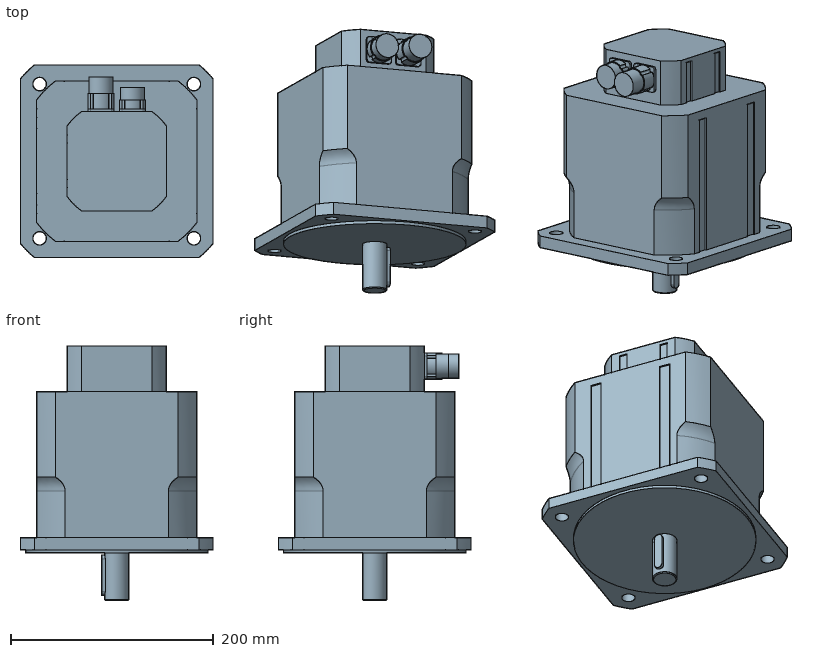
import cadquery as cq
import math


FLANGE_SIDE = 190
FLANGE_CORNER_DIAMETER = 250
FLANGE_THICKNESS = 12
BOLT_CIRCLE_DIAMETER = 215
BOLT_HOLE_DIAMETER = 13
SPIGOT_DIAMETER = 180
SPIGOT_HEIGHT = 3

BODY_SIDE = 158
BODY_CORNER_DIAMETER = 199
BODY_HEIGHT = 144
BODY_TOP_Z = FLANGE_THICKNESS + BODY_HEIGHT
RELIEF_DIAMETER = 188
RELIEF_STRAIGHT_HEIGHT = 46
RELIEF_ARC_RADIUS = 20

COVER_SIDE = 98
COVER_CORNER_DIAMETER = 120
COVER_HEIGHT = 45
COVER_TOP_Z = BODY_TOP_Z + COVER_HEIGHT

BODY_GROOVE_WIDTH = 11
BODY_GROOVE_SPACING = 75
BODY_GROOVE_TOP_MARGIN = 9
COVER_GROOVE_WIDTH = 8
COVER_GROOVE_SPACING = 44
COVER_GROOVE_TOP_MARGIN = 4
GROOVE_DEPTH = 1.5

SHAFT_DIAMETER = 24
SHAFT_LENGTH = 47
SHAFT_CHAMFER = 1
SHAFT_END_Z = -SPIGOT_HEIGHT - SHAFT_LENGTH
KEY_WIDTH = 8
KEY_LENGTH = 40
KEY_REACH = 15
KEY_END_GAP = 5

CONNECTOR_DIAMETER = 24
CONNECTOR_BASE_SIDE = 26
CONNECTOR_BASE_THICKNESS = 2.5
CONNECTOR_BASE_CORNER_RADIUS = 2.8
COLLAR_DIAMETER = 26
SCREW_OFFSET = 9.2
SCREW_GROOVE_DIAMETER = 3.6
CONNECTOR_DEPTH_BELOW_TOP = 20
CONNECTOR_Z = COVER_TOP_Z - CONNECTOR_DEPTH_BELOW_TOP
CONNECTOR_FACE_Y = COVER_SIDE / 2
CONNECTORS = [
    (-15.5, 17.5, 34),
    (15.5, 11.5, 23.5),
]


def arc_cornered_block(side, corner_diameter, bottom_z, height):
    """Square block whose corners are turned to a cylinder about the Z axis."""
    block = cq.Workplane("XY").workplane(offset=bottom_z).rect(side, side).extrude(height)
    turned = cq.Workplane("XY").workplane(offset=bottom_z).circle(corner_diameter / 2).extrude(height)
    return block.intersect(turned)


def flange():
    bolt_pitch = BOLT_CIRCLE_DIAMETER / math.sqrt(2)
    plate = arc_cornered_block(FLANGE_SIDE, FLANGE_CORNER_DIAMETER, 0, FLANGE_THICKNESS)
    holes = (
        cq.Workplane("XY")
        .rect(bolt_pitch, bolt_pitch, forConstruction=True)
        .vertices()
        .circle(BOLT_HOLE_DIAMETER / 2)
        .extrude(FLANGE_THICKNESS)
    )
    spigot = cq.Workplane("XY").circle(SPIGOT_DIAMETER / 2).extrude(-SPIGOT_HEIGHT)
    return plate.cut(holes).union(spigot)


def corner_relief():
    """Ring cut around the foot of the body, flaring outward in an arc at its top."""
    inner_radius = RELIEF_DIAMETER / 2
    outer_radius = inner_radius + RELIEF_ARC_RADIUS
    arc_start_z = FLANGE_THICKNESS + RELIEF_STRAIGHT_HEIGHT
    arc_reach = RELIEF_ARC_RADIUS * math.sqrt(0.5)
    return (
        cq.Workplane("XZ")
        .moveTo(inner_radius, FLANGE_THICKNESS)
        .lineTo(inner_radius, arc_start_z)
        .threePointArc(
            (outer_radius - arc_reach, arc_start_z + arc_reach),
            (outer_radius, arc_start_z + RELIEF_ARC_RADIUS),
        )
        .lineTo(outer_radius, FLANGE_THICKNESS)
        .close()
        .revolve(360, (0, 0, 0), (0, 1, 0))
    )


def side_grooves(face_side, width, spacing, bottom_z, top_z):
    """Pair of grooves cut into the -X face of a block."""
    return (
        cq.Workplane("XY")
        .workplane(offset=bottom_z)
        .pushPoints([(-face_side / 2, -spacing / 2), (-face_side / 2, spacing / 2)])
        .rect(2 * GROOVE_DEPTH, width)
        .extrude(top_z - bottom_z)
    )


def motor_body():
    block = arc_cornered_block(BODY_SIDE, BODY_CORNER_DIAMETER, FLANGE_THICKNESS, BODY_HEIGHT)
    grooves = side_grooves(
        BODY_SIDE,
        BODY_GROOVE_WIDTH,
        BODY_GROOVE_SPACING,
        FLANGE_THICKNESS,
        BODY_TOP_Z - BODY_GROOVE_TOP_MARGIN,
    )
    return block.cut(corner_relief()).cut(grooves)


def encoder_cover():
    block = arc_cornered_block(COVER_SIDE, COVER_CORNER_DIAMETER, BODY_TOP_Z, COVER_HEIGHT)
    grooves = side_grooves(
        COVER_SIDE,
        COVER_GROOVE_WIDTH,
        COVER_GROOVE_SPACING,
        BODY_TOP_Z,
        COVER_TOP_Z - COVER_GROOVE_TOP_MARGIN,
    )
    return block.cut(grooves)


def keyed_shaft():
    shaft = (
        cq.Workplane("XY")
        .workplane(offset=SHAFT_END_Z)
        .circle(SHAFT_DIAMETER / 2)
        .extrude(SHAFT_LENGTH)
        .faces("<Z")
        .chamfer(SHAFT_CHAMFER)
    )
    key_middle_z = SHAFT_END_Z + KEY_END_GAP + KEY_LENGTH / 2
    key = (
        cq.Workplane("YZ")
        .center(0, key_middle_z)
        .slot2D(KEY_LENGTH, KEY_WIDTH, 90)
        .extrude(-KEY_REACH)
    )
    return shaft.union(key)


def motor():
    return flange().union(motor_body()).union(encoder_cover()).union(keyed_shaft())


def connector(center_x, collar_end, tip):
    """Round connector along +Y: a square base, a collar grooved for four screws, and a plug barrel."""
    face = cq.Workplane("XZ", origin=(center_x, CONNECTOR_FACE_Y, CONNECTOR_Z))
    base = (
        face.rect(CONNECTOR_BASE_SIDE, CONNECTOR_BASE_SIDE)
        .extrude(-CONNECTOR_BASE_THICKNESS)
        .edges("|Y")
        .fillet(CONNECTOR_BASE_CORNER_RADIUS)
    )
    collar = face.circle(COLLAR_DIAMETER / 2).extrude(-collar_end)
    screw_grooves = (
        face.rect(2 * SCREW_OFFSET, 2 * SCREW_OFFSET, forConstruction=True)
        .vertices()
        .circle(SCREW_GROOVE_DIAMETER / 2)
        .extrude(-collar_end)
    )
    barrel = face.circle(CONNECTOR_DIAMETER / 2).extrude(-tip)
    return collar.union(barrel).cut(screw_grooves).union(base)


connectors = [connector(*sizes) for sizes in CONNECTORS]

result = cq.Compound.makeCompound([motor().val(), *[item.val() for item in connectors]])